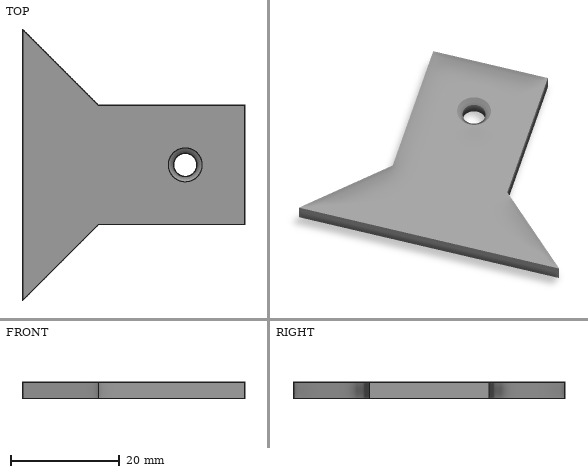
import cadquery as cq

length = 41.0
wide_edge = 50.0
stem_width = 22.0
thickness = 3.0
hole_diameter = 4.25
countersink_depth = 1.0
countersink_angle = 90.0

flare_length = (wide_edge - stem_width) / 2
countersink_diameter = hole_diameter + 2 * countersink_depth
hole_x = length - stem_width / 2


def flared_plate():
    """Straight stem along +X, widening to a sharp-cornered edge at X = 0."""
    outline = [
        (0, -wide_edge / 2),
        (flare_length, -stem_width / 2),
        (length, -stem_width / 2),
        (length, stem_width / 2),
        (flare_length, stem_width / 2),
        (0, wide_edge / 2),
    ]
    return cq.Workplane("XY").polyline(outline).close().extrude(thickness)


def add_screw_hole(plate):
    """Through hole on the centreline, countersunk from the top face."""
    return (
        plate.faces(">Z")
        .workplane(origin=(hole_x, 0, thickness))
        .cskHole(hole_diameter, countersink_diameter, countersink_angle)
    )


result = add_screw_hole(flared_plate())